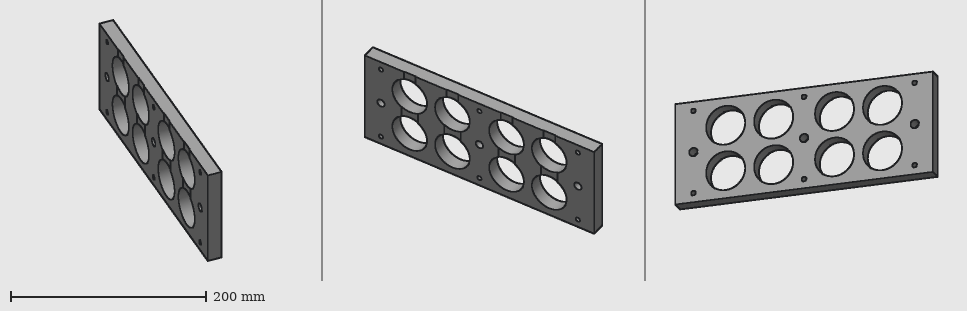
import cadquery as cq

LENGTH = 280.0
THICKNESS = 15.5
HEIGHT = 110.0

BORE_DIAMETER = 42.3
BORE_INNER_X = 33.0
BORE_OUTER_X = 85.0
BORE_Z = 25.0

HOLE_COLUMN_X = 120.0
SMALL_HOLE_Z = 45.0
SMALL_HOLE_DIAMETER = 5.0
MIDDLE_HOLE_DIAMETER = 9.0

CHANNEL_DEPTH = 0.5
UPPER_CHANNEL_WIDTH = 14.3
LOWER_CHANNEL_WIDTH = 20.2

bore_columns = [-BORE_OUTER_X, -BORE_INNER_X, BORE_INNER_X, BORE_OUTER_X]
hole_columns = [-HOLE_COLUMN_X, 0, HOLE_COLUMN_X]


def through_holes(diameter, columns, rows):
    """Cylinders along Y, one at each crossing of the columns and rows."""
    points = [(x, z) for x in columns for z in rows]
    return (
        cq.Workplane("XZ", origin=(0, THICKNESS / 2, 0))
        .pushPoints(points)
        .circle(diameter / 2)
        .extrude(THICKNESS)
    )


def channels(width, bottom, top):
    """Shallow upright slots in the front face, one on each bore column."""
    height = top - bottom
    points = [(x, bottom + height / 2) for x in bore_columns]
    return (
        cq.Workplane("XZ", origin=(0, -THICKNESS / 2 + CHANNEL_DEPTH, 0))
        .pushPoints(points)
        .rect(width, height)
        .extrude(CHANNEL_DEPTH)
    )


plate = cq.Workplane("XY").box(LENGTH, THICKNESS, HEIGHT)

plate = plate.cut(channels(LOWER_CHANNEL_WIDTH, -BORE_Z, BORE_Z))
plate = plate.cut(channels(UPPER_CHANNEL_WIDTH, BORE_Z, HEIGHT / 2))

plate = plate.cut(through_holes(BORE_DIAMETER, bore_columns, [-BORE_Z, BORE_Z]))
plate = plate.cut(through_holes(SMALL_HOLE_DIAMETER, hole_columns, [-SMALL_HOLE_Z, SMALL_HOLE_Z]))
plate = plate.cut(through_holes(MIDDLE_HOLE_DIAMETER, hole_columns, [0]))

result = plate